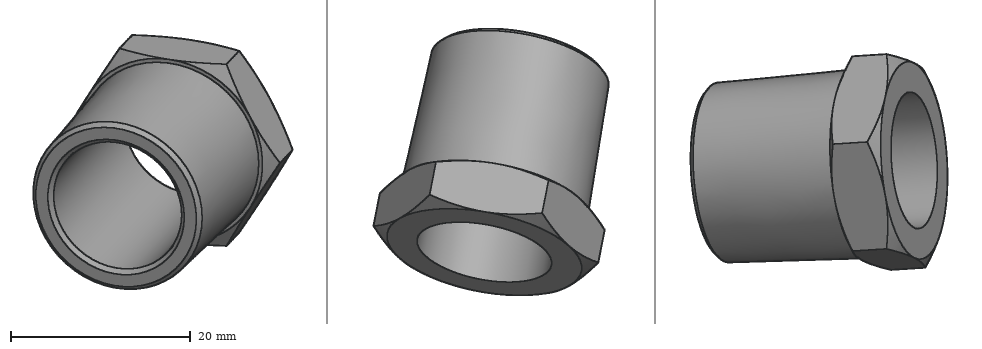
import cadquery as cq
import math

ACROSS_FLATS = 22.0
TOTAL_LENGTH = 23.0
HEX_LENGTH = 6.0
SPIGOT_LENGTH = TOTAL_LENGTH - HEX_LENGTH

SPIGOT_ROOT_RADIUS = 10.55
TAPER_ON_RADIUS = 1 / 32
SPIGOT_CHAMFER = 0.5

BORE_RADIUS = 7.6
BORE_CHAMFER = 0.5

HEX_SIDES = 6
CORNER_RADIUS = ACROSS_FLATS / 2 / math.cos(math.pi / HEX_SIDES)
CORNER_CHAMFER_ANGLE = 30.0
ENVELOPE_MARGIN = 1.0

HEX_FACE_Y = 0.0
HEX_BACK_Y = HEX_FACE_Y + HEX_LENGTH
SPIGOT_END_Y = HEX_FACE_Y - SPIGOT_LENGTH


def revolve_profile(points):
    """Revolve a closed (radius, Y) profile about the Y axis."""
    return cq.Workplane("XY").polyline(points).close().revolve(360, (0, 0, 0), (0, 1, 0))


def make_hexagon():
    """Hexagonal head with corners on the X axis, chamfered at both ends."""
    prism = (
        cq.Workplane("XZ", origin=(0, HEX_BACK_Y, 0))
        .polygon(HEX_SIDES, 2 * CORNER_RADIUS)
        .extrude(HEX_LENGTH)
    )
    face_radius = ACROSS_FLATS / 2
    envelope_radius = CORNER_RADIUS + ENVELOPE_MARGIN
    drop = (envelope_radius - face_radius) * math.tan(math.radians(CORNER_CHAMFER_ANGLE))
    envelope = revolve_profile([
        (0, HEX_FACE_Y),
        (face_radius, HEX_FACE_Y),
        (envelope_radius, HEX_FACE_Y + drop),
        (envelope_radius, HEX_BACK_Y - drop),
        (face_radius, HEX_BACK_Y),
        (0, HEX_BACK_Y),
    ])
    return prism.intersect(envelope)


def make_spigot():
    """Tapered spigot with a 45 degree chamfer at its free end."""
    chamfer_start_y = SPIGOT_END_Y + SPIGOT_CHAMFER
    taper_length = HEX_FACE_Y - chamfer_start_y
    tip_radius = SPIGOT_ROOT_RADIUS - taper_length * TAPER_ON_RADIUS
    overlap_y = HEX_FACE_Y + HEX_LENGTH / 2
    return revolve_profile([
        (0, SPIGOT_END_Y),
        (tip_radius - SPIGOT_CHAMFER, SPIGOT_END_Y),
        (tip_radius, chamfer_start_y),
        (SPIGOT_ROOT_RADIUS, HEX_FACE_Y),
        (SPIGOT_ROOT_RADIUS, overlap_y),
        (0, overlap_y),
    ])


def make_bore():
    """Through bore, opened by a 45 degree chamfer at the spigot end."""
    return revolve_profile([
        (0, SPIGOT_END_Y),
        (BORE_RADIUS + BORE_CHAMFER, SPIGOT_END_Y),
        (BORE_RADIUS, SPIGOT_END_Y + BORE_CHAMFER),
        (BORE_RADIUS, HEX_BACK_Y),
        (0, HEX_BACK_Y),
    ])


result = make_hexagon().union(make_spigot()).cut(make_bore())